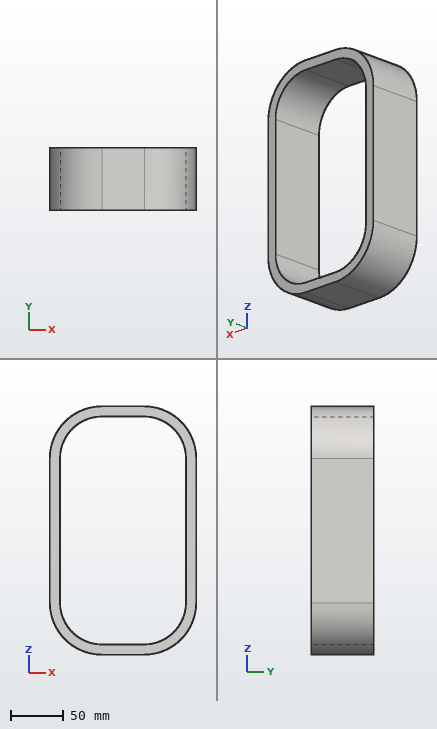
import cadquery as cq

width = 140.5
depth = 60.0
height = 238.0
wall = 10.0
outer_radius = 50.0

inner_radius = outer_radius - wall


def rounded_block(size_x, size_z, corner_radius):
    """Block centred on the origin with its four edges along Y rounded."""
    return cq.Workplane("XY").box(size_x, depth, size_z).edges("|Y").fillet(corner_radius)


outer_block = rounded_block(width, height, outer_radius)
opening = rounded_block(width - 2 * wall, height - 2 * wall, inner_radius)
result = outer_block.cut(opening)